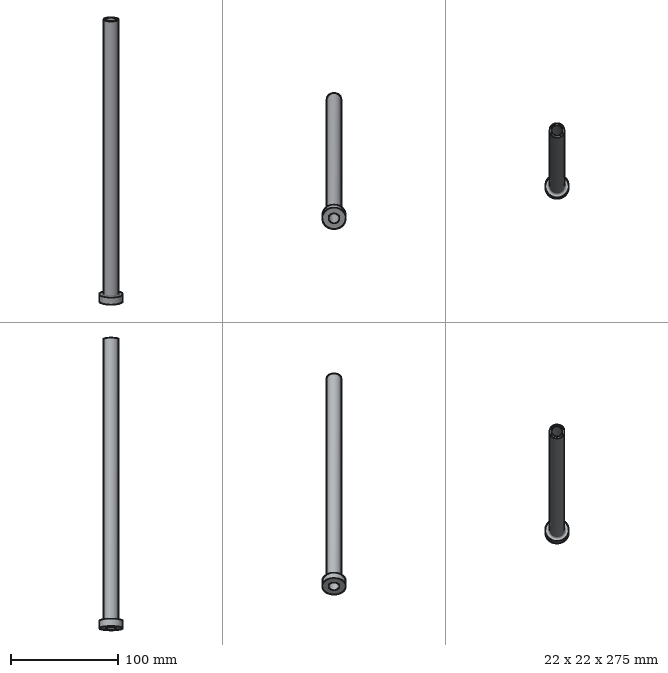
import cadquery as cq

total_length = 275.0
head_diameter = 22.0
head_height = 7.0
shank_diameter = 14.0
bore_diameter = 10.0
neck_fillet_radius = 0.7

head_radius = head_diameter / 2
shank_radius = shank_diameter / 2
bore_radius = bore_diameter / 2


def make_sleeve():
    """Headed sleeve turned about Z: head at the foot, rounded neck, long shank, open bore."""
    half_section = (
        cq.Workplane("XZ")
        .moveTo(bore_radius, 0)
        .lineTo(head_radius, 0)
        .lineTo(head_radius, head_height)
        .lineTo(shank_radius + neck_fillet_radius, head_height)
        .radiusArc((shank_radius, head_height + neck_fillet_radius), neck_fillet_radius)
        .lineTo(shank_radius, total_length)
        .lineTo(bore_radius, total_length)
        .close()
    )
    return half_section.revolve(360, (0, 0, 0), (0, 1, 0))


result = make_sleeve()